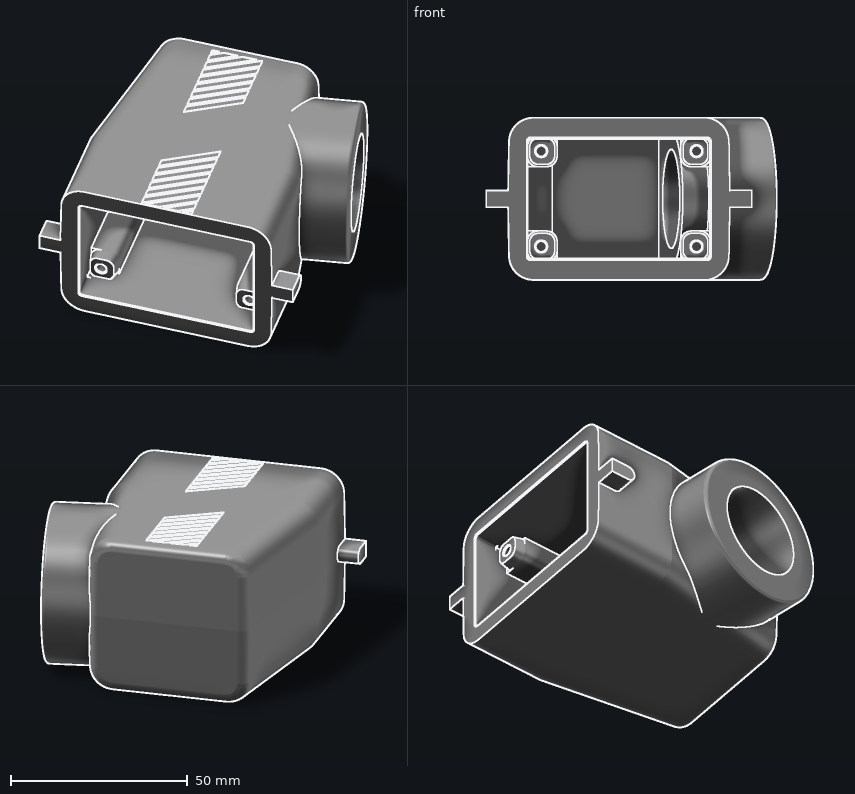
import cadquery as cq
import math

BODY_HALF_WIDTH = 31.45
BODY_HEIGHT = 46.0
BODY_LENGTH = 71.5
SHOULDER_Y = 26.4
SIDE_SLOPE = 10.0
MOULD_DRAFT = 1.0
LONG_EDGE_RADIUS = 7.0
END_EDGE_RADIUS = 3.25

LUG_HALF_SPAN = 37.6
LUG_LENGTH = 8.0
LUG_THICKNESS = 4.8

MOUTH_HALF_WIDTH = 26.1
MOUTH_HALF_HEIGHT = 17.45
MOUTH_CORNER_RADIUS = 1.2
MOUTH_CHAMFER = 0.3
MOUTH_DEPTH = 7.4
CAVITY_HALF_WIDTH = MOUTH_HALF_WIDTH - MOUTH_CHAMFER
CAVITY_HALF_HEIGHT = 16.8
CAVITY_FLOOR_Y = 66.0

ENTRY_END_X = 40.91
ENTRY_END_Y = 50.5
ENTRY_DIAMETER = 46.0
ENTRY_RIM_RADIUS = 1.0
ENTRY_LENGTH = 26.0
INNER_BOSS_DIAMETER = 38.0
INNER_BOSS_DEPTH = 26.5
BORE_DIAMETER = 28.0

POST_X = 21.7
POST_Z = 13.45
POST_WIDTH = 8.4
POST_HEIGHT = 8.7
POST_RADIUS = 3.0
POST_FRONT_Y = 8.4
POST_TIP_LENGTH = 3.0
POST_TIP_TAPER = 13.0
POST_WALL_OVERLAP = 2.0
SCREW_X = 22.0
SCREW_Z = 13.5
SCREW_DIAMETER = 3.0
SCREW_MOUTH_DIAMETER = 3.6
SCREW_DEPTH = 12.0

BAND_WIDTH = 14.9
BAND_FRONT_Y = 0.5
BAND_BACK_Y = 67.2
STRIPE_ANGLE = 30.0
STRIPE_PITCH = 3.21
STRIPE_WIDTH = 2.35
STRIPE_DEPTH = 0.2
STRIPE_COUNT = 9
BACK_GROUP_START = 40.35
FRONT_GROUP_START = 16.8

SLOPE_TAN = math.tan(math.radians(SIDE_SLOPE))


def tapered_outline(half_width, start_y, end_y):
    """XY outline with straight sides up to the shoulder and sloped sides beyond it."""
    end_half_width = half_width - (end_y - SHOULDER_Y) * SLOPE_TAN
    right_side = [(half_width, start_y), (half_width, SHOULDER_Y), (end_half_width, end_y)]
    left_side = [(-x, y) for x, y in reversed(right_side)]
    return cq.Workplane("XY").polyline(right_side + left_side).close()


def block(x_range, y_range, z_range):
    size = [high - low for low, high in (x_range, y_range, z_range)]
    corner = (x_range[0], y_range[0], z_range[0])
    return cq.Workplane("XY").box(*size, centered=False).translate(corner)


def make_body():
    """Rounded upper half, mirrored over the parting plane."""
    half_height = BODY_HEIGHT / 2
    trim = 5.0
    blank = tapered_outline(BODY_HALF_WIDTH, -trim, BODY_LENGTH).extrude(half_height, taper=MOULD_DRAFT)
    blank = blank.cut(block((-BODY_HALF_WIDTH, BODY_HALF_WIDTH), (-trim, 0), (0, half_height)))
    blank = blank.faces(">Z").edges("not |X").fillet(LONG_EDGE_RADIUS)
    upper = blank.faces(">Y").edges("not <Z").fillet(END_EDGE_RADIUS)
    return upper.union(upper.mirror("XY"))


def make_lugs():
    tip_radius = LUG_THICKNESS / 2
    tip_centre_y = LUG_LENGTH - tip_radius
    profile = (
        cq.Workplane("YZ")
        .moveTo(0, -tip_radius)
        .lineTo(tip_centre_y, -tip_radius)
        .threePointArc((LUG_LENGTH, 0), (tip_centre_y, tip_radius))
        .lineTo(0, tip_radius)
        .close()
    )
    return profile.extrude(LUG_HALF_SPAN, both=True)


def make_cavity():
    lead_in = (
        cq.Workplane("XZ")
        .sketch()
        .rect(2 * MOUTH_HALF_WIDTH, 2 * MOUTH_HALF_HEIGHT)
        .vertices()
        .fillet(MOUTH_CORNER_RADIUS)
        .finalize()
        .extrude(-MOUTH_CHAMFER, taper=45)
    )
    front_half_height = MOUTH_HALF_HEIGHT - MOUTH_CHAMFER
    recess = (
        cq.Workplane("YZ")
        .moveTo(0, -front_half_height)
        .lineTo(MOUTH_DEPTH, -CAVITY_HALF_HEIGHT)
        .lineTo(MOUTH_DEPTH, CAVITY_HALF_HEIGHT)
        .lineTo(0, front_half_height)
        .close()
        .extrude(CAVITY_HALF_WIDTH, both=True)
        .faces("<X or >X")
        .edges("not |Z")
        .fillet(MOUTH_CORNER_RADIUS - MOUTH_CHAMFER)
    )
    chamber = tapered_outline(CAVITY_HALF_WIDTH, MOUTH_DEPTH, CAVITY_FLOOR_Y)
    chamber = chamber.extrude(CAVITY_HALF_HEIGHT, both=True)
    return lead_in.union(recess).union(chamber)


def entry_plane():
    """Plane of the outer end of the cable entry, with its normal pointing outward."""
    angle = math.radians(SIDE_SLOPE)
    return cq.Plane(
        origin=(ENTRY_END_X, ENTRY_END_Y, 0),
        xDir=(math.sin(angle), -math.cos(angle), 0),
        normal=(math.cos(angle), math.sin(angle), 0),
    )


def entry_cylinder(diameter, length):
    return cq.Workplane(entry_plane()).circle(diameter / 2).extrude(-length)


def make_entry_pipe(cavity):
    pipe = entry_cylinder(ENTRY_DIAMETER, ENTRY_LENGTH)
    rim = pipe.edges(cq.selectors.DirectionMinMaxSelector(entry_plane().zDir, True))
    return rim.fillet(ENTRY_RIM_RADIUS).cut(cavity)


def make_inner_boss(cavity):
    """Round boss around the bore, carried straight on from its axis to the cavity floor."""
    boss = entry_cylinder(INNER_BOSS_DIAMETER, INNER_BOSS_DEPTH)
    floor_side = (
        cq.Workplane(entry_plane())
        .rect(INNER_BOSS_DIAMETER, INNER_BOSS_DIAMETER)
        .extrude(-INNER_BOSS_DEPTH)
        .translate(entry_plane().xDir * (-INNER_BOSS_DIAMETER / 2))
    )
    return boss.union(floor_side).intersect(cavity)


def make_posts():
    """Four corner posts with tapered tips, merging into the walls around them."""
    body_start = POST_FRONT_Y + POST_TIP_LENGTH
    tip = (
        cq.Workplane("XZ", origin=(POST_X, body_start, POST_Z))
        .sketch()
        .rect(POST_WIDTH, POST_HEIGHT)
        .vertices()
        .fillet(POST_RADIUS)
        .finalize()
        .extrude(POST_TIP_LENGTH, taper=POST_TIP_TAPER)
    )
    shaft = (
        block(
            (POST_X - POST_WIDTH / 2, POST_X + POST_WIDTH / 2 + POST_WALL_OVERLAP),
            (body_start, CAVITY_FLOOR_Y + POST_WALL_OVERLAP),
            (POST_Z - POST_HEIGHT / 2, POST_Z + POST_HEIGHT / 2 + POST_WALL_OVERLAP),
        )
        .edges("|Y and <X and <Z")
        .fillet(POST_RADIUS)
    )
    return in_four_corners(tip.union(shaft))


def make_screw_holes():
    mouth_depth = (SCREW_MOUTH_DIAMETER - SCREW_DIAMETER) / 2
    hole_end = POST_FRONT_Y + SCREW_DEPTH
    profile = [
        (0, POST_FRONT_Y),
        (SCREW_MOUTH_DIAMETER / 2, POST_FRONT_Y),
        (SCREW_DIAMETER / 2, POST_FRONT_Y + mouth_depth),
        (SCREW_DIAMETER / 2, hole_end),
        (0, hole_end),
    ]
    hole = cq.Workplane("XY").polyline(profile).close().revolve(360, (0, 0, 0), (0, 1, 0))
    return in_four_corners(hole.translate((SCREW_X, 0, SCREW_Z)))


def in_four_corners(shape):
    upper = shape.union(shape.mirror("YZ"))
    return upper.union(upper.mirror("XY"))


def make_grip_stripes():
    """Two groups of slanted shallow pockets, trimmed to the borders of the band."""
    half_width = BAND_WIDTH / 2
    rise = BAND_WIDTH * math.tan(math.radians(STRIPE_ANGLE))
    top = BODY_HEIGHT / 2
    starts = [BACK_GROUP_START + i * STRIPE_PITCH for i in range(STRIPE_COUNT)]
    starts += [FRONT_GROUP_START - i * STRIPE_PITCH for i in range(STRIPE_COUNT)]
    stripes = cq.Workplane("XY", origin=(0, 0, top))
    for start in starts:
        corners = [
            (-half_width, start),
            (half_width, start + rise),
            (half_width, start + rise + STRIPE_WIDTH),
            (-half_width, start + STRIPE_WIDTH),
        ]
        stripes = stripes.polyline(corners).close()
    stripes = stripes.extrude(-STRIPE_DEPTH)
    band = block((-half_width, half_width), (BAND_FRONT_Y, BAND_BACK_Y), (top - STRIPE_DEPTH, top))
    return stripes.intersect(band)


cavity = make_cavity()
body = make_body()
result = body.union(make_lugs()).union(make_entry_pipe(cavity)).cut(cavity)
result = result.union(make_inner_boss(cavity)).union(make_posts().intersect(body))
result = result.cut(entry_cylinder(BORE_DIAMETER, INNER_BOSS_DEPTH))
result = result.cut(make_screw_holes()).cut(make_grip_stripes())